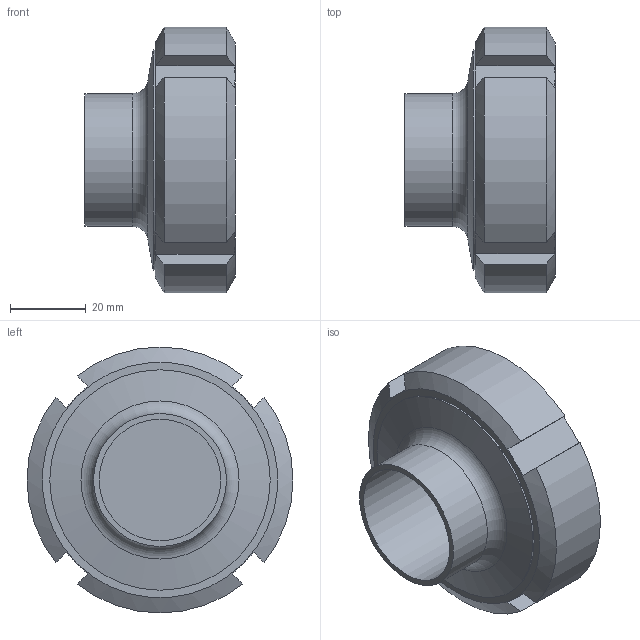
import cadquery as cq
import math

total_length = 39.5

nut_diameter = 70.0
nut_width = 21.0
nut_face_diameter = 62.0
nut_chamfer_angle = 30.0
nut_front = total_length - nut_width
nut_chamfer_height = (nut_diameter - nut_face_diameter) / 2
nut_chamfer_width = nut_chamfer_height * math.tan(math.radians(nut_chamfer_angle))

slot_count = 4
slot_width = 8.0
slot_floor_radius = 31.0
slot_start_angle = 45.0
slot_depth = nut_diameter / 2 - slot_floor_radius

neck_diameter = 35.0
bore_diameter = 32.0
bore_depth = 29.0
collar_diameter = 58.0
collar_rim_width = 0.5
collar_cone_angle = 10.0
neck_fillet_radius = 4.0
collar_rim_start = nut_front - collar_rim_width


def revolve_about_x(profile):
    """Turn a closed (x, radius) profile once around the X axis."""
    return profile.revolve(360, (0, 0, 0), (1, 0, 0))


def make_nut():
    face_radius = nut_face_diameter / 2
    rim_radius = nut_diameter / 2
    profile = (
        cq.Workplane("XY")
        .moveTo(nut_front, 0)
        .lineTo(nut_front, face_radius)
        .lineTo(nut_front + nut_chamfer_width, rim_radius)
        .lineTo(total_length - nut_chamfer_width, rim_radius)
        .lineTo(total_length, face_radius)
        .lineTo(total_length, 0)
        .close()
    )
    return revolve_about_x(profile)


def cut_spanner_slots(nut):
    cutter_height = 2 * slot_depth
    cutter = cq.Workplane("XY").box(nut_width, slot_width, cutter_height, centered=(False, True, False))
    cutter = cutter.translate((nut_front, 0, slot_floor_radius))
    for index in range(slot_count):
        angle = slot_start_angle + index * 360 / slot_count
        nut = nut.cut(cutter.rotate((0, 0, 0), (1, 0, 0), angle))
    return nut


def make_neck():
    neck_radius = neck_diameter / 2
    collar_radius = collar_diameter / 2
    cone_angle = math.radians(collar_cone_angle)

    cone_root_x = collar_rim_start - (collar_radius - neck_radius) * math.tan(cone_angle)
    turn_angle = math.pi / 2 - cone_angle
    tangent_length = neck_fillet_radius * math.tan(turn_angle / 2)
    fillet_start = (cone_root_x - tangent_length, neck_radius)
    fillet_end = (
        cone_root_x + tangent_length * math.sin(cone_angle),
        neck_radius + tangent_length * math.cos(cone_angle),
    )

    profile = (
        cq.Workplane("XY")
        .lineTo(0, neck_radius)
        .lineTo(*fillet_start)
        .tangentArcPoint(fillet_end, relative=False)
        .lineTo(collar_rim_start, collar_radius)
        .lineTo(nut_front, collar_radius)
        .lineTo(nut_front, 0)
        .close()
    )
    return revolve_about_x(profile)


def cut_bore(body):
    bore = cq.Workplane("YZ").circle(bore_diameter / 2).extrude(bore_depth)
    return body.cut(bore)


nut = cut_spanner_slots(make_nut())
result = cut_bore(nut.union(make_neck()))